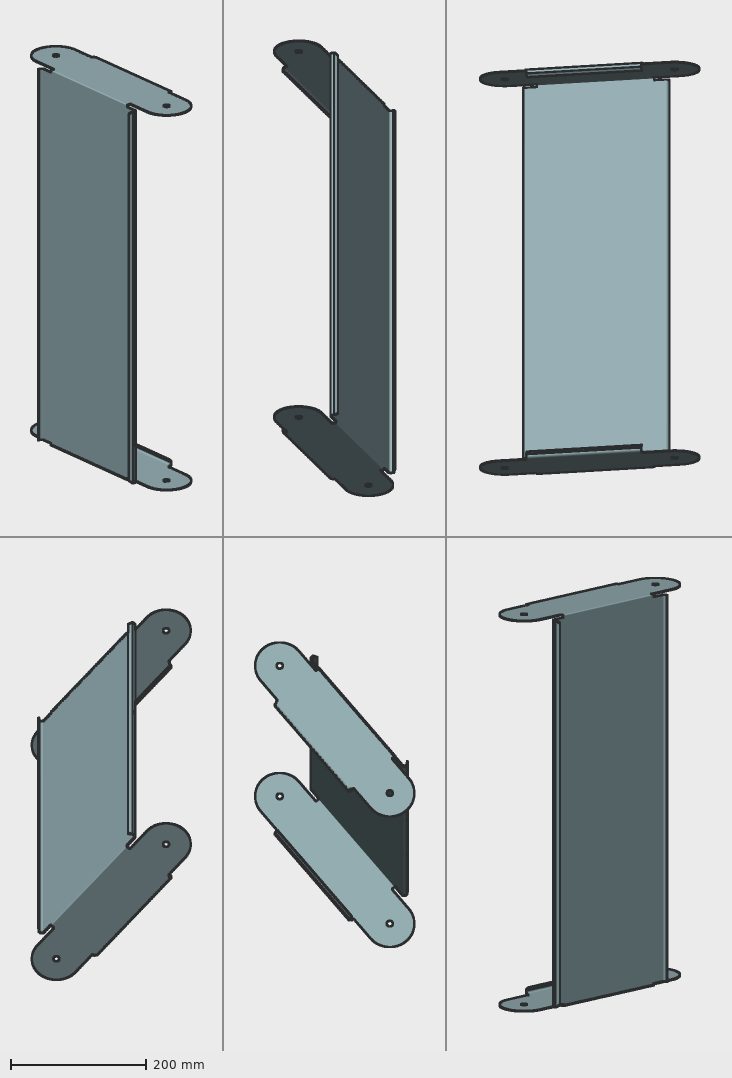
import cadquery as cq
import math

height = 600.0
total_depth = 98.0
plate_length = 330.5
plate_width = 73.0
sheet = 1.5

hole_diameter = 9.0
neck_width = 177.5
flange_width = 174.0
flange_back_y = 44.1

panel_width = 221.0
panel_front_y = -43.0
wing_drop = 3.5
plate_bend_radius = 2.0

lip_rise = 5.0
lip_mitre = 4.0
hook_bend_radius = 4.0

panel_back_y = panel_front_y + sheet
hook_depth = total_depth - (flange_back_y - panel_back_y)
hook_wall = hook_depth - lip_rise
wing_height = height - 2 * wing_drop
hole_spacing = plate_length - plate_width


def hook_outline():
    """Closed hook points: first along the sheet from the outer corner, second down the wall."""
    lip_offset = sheet / math.sqrt(2)
    inner_wall_end = hook_wall - sheet * math.tan(math.radians(22.5))
    flat_end = 2 * hook_bend_radius
    return [
        (flat_end, 0),
        (0, 0),
        (0, hook_wall),
        (lip_rise, hook_depth),
        (lip_rise + lip_offset, hook_depth - lip_offset),
        (sheet, inner_wall_end),
        (sheet, sheet),
        (flat_end, sheet),
    ]


def round_bend(body, axis, outer, inner, radius):
    """Round a sheet bend that runs along the given axis, keeping its thickness."""
    body = body.edges("|" + axis).edges(cq.NearestToPointSelector(outer)).fillet(radius)
    return body.edges("|" + axis).edges(cq.NearestToPointSelector(inner)).fillet(radius - sheet)


def panel_hook():
    """Hook along the left side of the panel, with its lip mitred at both ends."""
    left = -panel_width / 2
    points = [(left + along, panel_back_y - down) for along, down in hook_outline()]
    hook = cq.Workplane("XY").polyline(points).close().extrude(wing_height / 2, both=True)
    hook = round_bend(
        hook, "Z", (left, panel_back_y, 0), (left + sheet, panel_front_y, 0), hook_bend_radius
    )
    tip_y = panel_back_y - hook_depth
    mitre_start_y = tip_y + lip_mitre
    top = wing_height / 2
    mitre = (
        cq.Workplane("YZ")
        .polyline([(mitre_start_y, top), (tip_y, top), (tip_y, top - lip_mitre)])
        .close()
        .extrude(panel_width, both=True)
    )
    return hook.cut(mitre).cut(mitre.mirror("XY"))


def panel():
    flat_width = panel_width - 4 * hook_bend_radius
    centre_y = panel_front_y + sheet / 2
    wings = cq.Workplane("XY").box(flat_width, sheet, wing_height).translate((0, centre_y, 0))
    middle = cq.Workplane("XY").box(neck_width, sheet, height).translate((0, centre_y, 0))
    hook = panel_hook()
    return wings.union(middle).union(hook).union(hook.mirror("YZ"))


def back_flange():
    """Hooked flange hanging from the back edge of the top plate."""
    top = height / 2
    points = [(flange_back_y - along, top - down) for along, down in hook_outline()]
    flange = cq.Workplane("YZ").polyline(points).close().extrude(flange_width / 2, both=True)
    return round_bend(
        flange, "X", (0, flange_back_y, top), (0, flange_back_y - sheet, top - sheet), hook_bend_radius
    )


def top_plate():
    underside = height / 2 - sheet
    neck_back_y = flange_back_y - hook_bend_radius
    neck_depth = neck_back_y - panel_front_y
    base = cq.Workplane("XY").workplane(offset=underside)
    neck = (
        base.center(0, (neck_back_y + panel_front_y) / 2)
        .rect(neck_width, neck_depth)
        .extrude(sheet)
    )
    holes = (
        base.pushPoints([(-hole_spacing / 2, 0), (hole_spacing / 2, 0)])
        .circle(hole_diameter / 2)
        .extrude(sheet)
    )
    plate = base.slot2D(plate_length, plate_width).extrude(sheet)
    return plate.union(neck).union(back_flange()).cut(holes)


plate = top_plate()
result = panel().union(plate).union(plate.mirror("XY")).clean()

for side in (1, -1):
    outer_corner = (0, panel_front_y, side * height / 2)
    inner_corner = (0, panel_back_y, side * (height / 2 - sheet))
    result = round_bend(result, "X", outer_corner, inner_corner, plate_bend_radius)